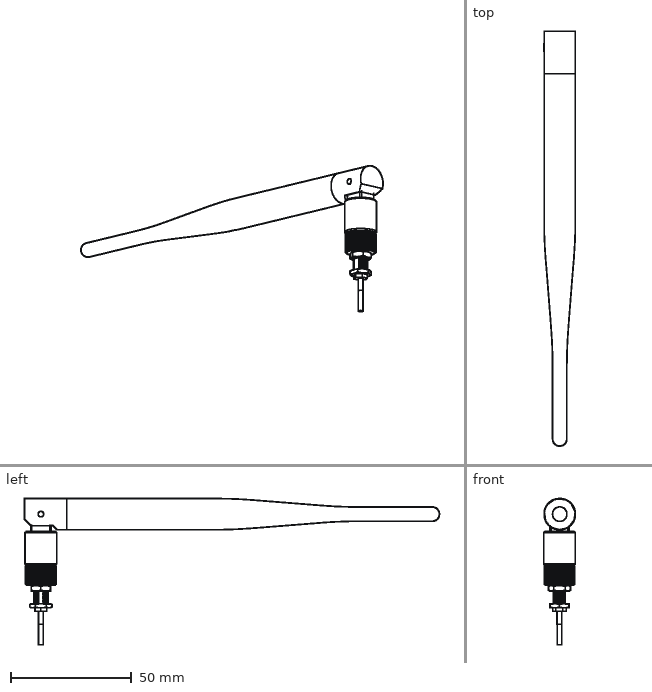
import cadquery as cq
import math


stick_diameter = 13.0
tip_diameter = 6.0
stick_end_y = 6.8
stick_offset_x = 0.1
stick_length = 171.82
stick_tip_y = stick_end_y - stick_length
knuckle_length = 17.6
seam_y = stick_end_y - knuckle_length
taper_start_y = stick_end_y - 79.3
blend_length = 15.0
cone_length = 29.0

relief_z = -4.75
relief_front_y = 4.2
relief_back_y = -4.9

hinge_hole_diameter = 2.3

housing_diameter = 13.21
housing_top_z = -7.1
housing_bottom_z = -21.1
housing_chamfer = 0.6
tongue_width_x = 8.0
tongue_width_y = 8.4
tongue_corner = 0.5

coupling_diameter = 12.8
coupling_end_diameter = 11.7
coupling_bottom_z = -29.4
coupling_chamfer = (coupling_diameter - coupling_end_diameter) / 2
knurl_count = 60
knurl_depth = 0.25
knurl_mouth_ratio = 0.7
plain_band_top_z = -26.9
plain_band_bottom_z = -27.4

hex_across_flats = 8.0
nut_face_diameter = 7.4
flange_face_diameter = 8.0
nut_bottom_z = -32.0
thread_diameter = 6.09
thread_root_diameter = 5.53
thread_pitch = 0.7
thread_left_flat_x = -2.65
thread_right_flat_x = 2.4
flange_top_z = -37.1
flange_bottom_z = -38.8
crimp_across_flats = 5.0
crimp_bottom_z = -40.3

sleeve_diameter = 2.08
sleeve_bottom_z = -45.5
cable_diameter = 2.0
cable_bottom_z = -54.13


def rod(diameter, top_z, bottom_z):
    """Upright round rod on the stem axis."""
    return cq.Workplane("XY").workplane(offset=bottom_z).circle(diameter / 2).extrude(top_z - bottom_z)


def hexagon(across_flats, top_z, bottom_z, turn):
    """Upright hexagonal prism; a turn of 0 points a corner along X."""
    corner_diameter = across_flats / math.cos(math.pi / 6)
    base = cq.Workplane("XY").workplane(offset=bottom_z)
    prism = base.polygon(6, corner_diameter).extrude(top_z - bottom_z)
    return prism.rotate((0, 0, 0), (0, 0, 1), turn)


def round_hex_corners(prism, face_diameter, top_z, bottom_z):
    """Bevel both ends of a hexagon at 30 degrees, down to round end faces."""
    bevel_rise = math.tan(math.pi / 6)
    mid_z = (top_z + bottom_z) / 2
    half_height = (top_z - bottom_z) / 2
    face_radius = face_diameter / 2
    cone_base_radius = face_radius + half_height / bevel_rise
    half_cone = (
        cq.Workplane("XZ", origin=(0, 0, mid_z))
        .polyline([(0, 0), (cone_base_radius, 0), (face_radius, half_height), (0, half_height)])
        .close()
        .revolve(360, (0, 0, 0), (0, 1, 0))
    )
    double_cone = half_cone.union(half_cone.mirror("XY", (0, 0, mid_z)))
    return prism.intersect(double_cone)


def make_tongue():
    """Square post with bevelled corners and a top rounded about the hinge axis."""
    height = tongue_width_y / 2 - housing_top_z
    post = (
        cq.Workplane("XY")
        .workplane(offset=housing_top_z)
        .rect(tongue_width_x, tongue_width_y)
        .extrude(height)
        .edges("|Z")
        .chamfer(tongue_corner)
    )
    side_outline = (
        cq.Workplane("YZ")
        .moveTo(-tongue_width_y / 2, housing_top_z)
        .lineTo(tongue_width_y / 2, housing_top_z)
        .lineTo(tongue_width_y / 2, 0)
        .threePointArc((0, tongue_width_y / 2), (-tongue_width_y / 2, 0))
        .close()
        .extrude(tongue_width_x, both=True)
    )
    return post.intersect(side_outline)


def make_whip():
    """Plain tube, gentle taper with tangent blends at both ends, thin rod and round tip."""
    big_radius = stick_diameter / 2
    tip_radius = tip_diameter / 2
    slope = (big_radius - tip_radius) / (cone_length + blend_length)
    cone_start_y = taper_start_y - blend_length
    cone_end_y = cone_start_y - cone_length
    taper_end_y = cone_end_y - blend_length
    blend_drop = slope * blend_length / 2
    tip_start_y = stick_tip_y + tip_radius
    tip_mid = tip_radius * math.sqrt(0.5)
    outline = (
        cq.Workplane("YZ")
        .moveTo(seam_y, 0)
        .lineTo(seam_y, big_radius)
        .lineTo(taper_start_y, big_radius)
        .tangentArcPoint((cone_start_y, big_radius - blend_drop), relative=False)
        .lineTo(cone_end_y, tip_radius + blend_drop)
        .tangentArcPoint((taper_end_y, tip_radius), relative=False)
        .lineTo(tip_start_y, tip_radius)
        .threePointArc((tip_start_y - tip_mid, tip_mid), (stick_tip_y, 0))
        .close()
    )
    return outline.revolve(360, (0, 0, 0), (1, 0, 0)).translate((stick_offset_x, 0, 0))


def make_knuckle():
    """End piece of the stick, relieved below for the swing and pocketed for the tongue."""
    free_end = cq.Workplane("XZ", origin=(stick_offset_x, stick_end_y, 0))
    body = free_end.circle(stick_diameter / 2).extrude(knuckle_length)
    floor_z = -stick_diameter
    drop = relief_z - floor_z
    front_rise = stick_diameter
    relief = (
        cq.Workplane("YZ")
        .polyline(
            [
                (relief_front_y, relief_z),
                (relief_front_y + front_rise, relief_z + front_rise),
                (relief_front_y + front_rise, floor_z),
                (relief_back_y - drop, floor_z),
                (relief_back_y, relief_z),
            ]
        )
        .close()
        .extrude(stick_diameter, both=True)
    )
    hinge_hole = cq.Workplane("YZ").circle(hinge_hole_diameter / 2).extrude(stick_diameter, both=True)
    return body.cut(relief).cut(make_tongue()).cut(hinge_hole)


def make_housing():
    """Round barrel carrying the tongue that sits in the knuckle."""
    barrel = rod(housing_diameter, housing_top_z, housing_bottom_z).faces("<Z or >Z").chamfer(housing_chamfer)
    return barrel.union(make_tongue())


def knurl_grooves(top_z, bottom_z):
    """Ring of upright V grooves around the coupling nut."""
    outer_radius = coupling_diameter / 2
    pitch = 2 * math.pi * outer_radius / knurl_count
    half_width = knurl_mouth_ratio * pitch
    groove = (
        cq.Workplane("XY")
        .workplane(offset=bottom_z)
        .polyline(
            [
                (outer_radius - knurl_depth, 0),
                (outer_radius + knurl_depth, half_width),
                (outer_radius + knurl_depth, -half_width),
            ]
        )
        .close()
        .extrude(top_z - bottom_z)
        .val()
    )
    step = 360 / knurl_count
    return [groove.rotate(cq.Vector(0, 0, 0), cq.Vector(0, 0, 1), i * step) for i in range(knurl_count)]


def make_coupling_nut():
    """Chamfered nut with two knurled bands and a plain band between them."""
    coupling = rod(coupling_diameter, housing_bottom_z, coupling_bottom_z)
    coupling = coupling.faces("<Z or >Z").chamfer(coupling_chamfer)
    upper_band = knurl_grooves(housing_bottom_z, plain_band_top_z)
    lower_band = knurl_grooves(plain_band_bottom_z, coupling_bottom_z)
    return cq.Workplane(coupling.val().cut(*upper_band, *lower_band))


def make_thread():
    """Ring-grooved thread with a flat on each X side."""
    length = nut_bottom_z - flange_top_z
    turns = round(length / thread_pitch)
    pitch = length / turns
    root_radius = thread_root_diameter / 2
    outline = cq.Workplane("XZ").moveTo(0, flange_top_z).lineTo(root_radius, flange_top_z)
    for i in range(turns):
        start_z = flange_top_z + i * pitch
        outline = outline.lineTo(thread_diameter / 2, start_z + pitch / 2)
        outline = outline.lineTo(root_radius, start_z + pitch)
    thread = outline.lineTo(0, nut_bottom_z).close().revolve(360, (0, 0, 0), (0, 1, 0))
    between_flats = (
        cq.Workplane("XY")
        .workplane(offset=flange_top_z)
        .center((thread_left_flat_x + thread_right_flat_x) / 2, 0)
        .rect(thread_right_flat_x - thread_left_flat_x, 2 * thread_diameter)
        .extrude(length)
    )
    return thread.intersect(between_flats)


def make_connector():
    """Lock nut, thread, flange, crimp and cable tail in one piece."""
    lock_nut = hexagon(hex_across_flats, coupling_bottom_z, nut_bottom_z, 0)
    lock_nut = round_hex_corners(lock_nut, nut_face_diameter, coupling_bottom_z, nut_bottom_z)
    flange = hexagon(hex_across_flats, flange_top_z, flange_bottom_z, 30)
    flange = round_hex_corners(flange, flange_face_diameter, flange_top_z, flange_bottom_z)
    crimp = hexagon(crimp_across_flats, flange_bottom_z, crimp_bottom_z, 0)
    sleeve = rod(sleeve_diameter, crimp_bottom_z, sleeve_bottom_z)
    cable = rod(cable_diameter, sleeve_bottom_z, cable_bottom_z)
    connector = lock_nut
    for piece in (make_thread(), flange, crimp, sleeve, cable):
        connector = connector.union(piece)
    return connector


whip = make_whip()
knuckle = make_knuckle()
housing = make_housing()
coupling_nut = make_coupling_nut()
connector = make_connector()

result = cq.Compound.makeCompound(
    [whip.val(), knuckle.val(), housing.val(), coupling_nut.val(), connector.val()]
)